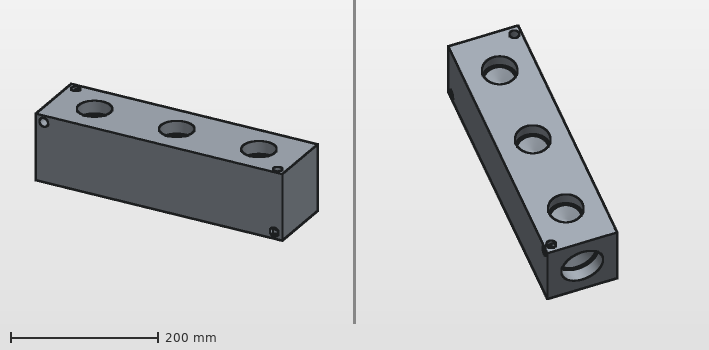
import cadquery as cq
import math

length = 381.0
width = 101.7

top_port_diameter = 48.5
top_drill_diameter = 44.0
top_port_depth = 19.5
top_port_pitch = length / 3
top_port_count = 3

end_port_diameter = 60.5
end_drill_diameter = 55.5
end_port_depth = 19.5

drill_wall_height = 1.5
drill_point_angle = 118.0

mount_diameter = 13.5
mount_end_offset = 12.5
mount_side_offset = 10.3


def port_cutter(port_diameter, drill_diameter, depth):
    """Port opening at z = 0, drilled down along -Z."""
    port_radius = port_diameter / 2
    drill_radius = drill_diameter / 2
    point_height = drill_radius / math.tan(math.radians(drill_point_angle / 2))
    profile = (
        cq.Workplane("XZ")
        .lineTo(port_radius, 0)
        .lineTo(port_radius, -depth)
        .lineTo(drill_radius, -depth)
        .lineTo(drill_radius, -depth - drill_wall_height)
        .lineTo(0, -depth - drill_wall_height - point_height)
        .close()
    )
    return profile.revolve(360, (0, 0, 0), (0, 1, 0))


block = cq.Workplane("XY").box(length, width, width)

top_cutter = port_cutter(top_port_diameter, top_drill_diameter, top_port_depth)
for index in range(top_port_count):
    port_x = (index - (top_port_count - 1) / 2) * top_port_pitch
    block = block.cut(top_cutter.translate((port_x, 0, width / 2)))

end_cutter = port_cutter(end_port_diameter, end_drill_diameter, end_port_depth)
end_cutter = end_cutter.rotate((0, 0, 0), (0, 1, 0), -90)
block = block.cut(end_cutter.translate((-length / 2, 0, 0)))

mount_x = length / 2 - mount_end_offset
mount_side = width / 2 - mount_side_offset
mount_points = [(-mount_x, mount_side), (mount_x, -mount_side)]
for plane in ("XY", "XZ"):
    drills = (
        cq.Workplane(plane)
        .pushPoints(mount_points)
        .circle(mount_diameter / 2)
        .extrude(width, both=True)
    )
    block = block.cut(drills)

result = block